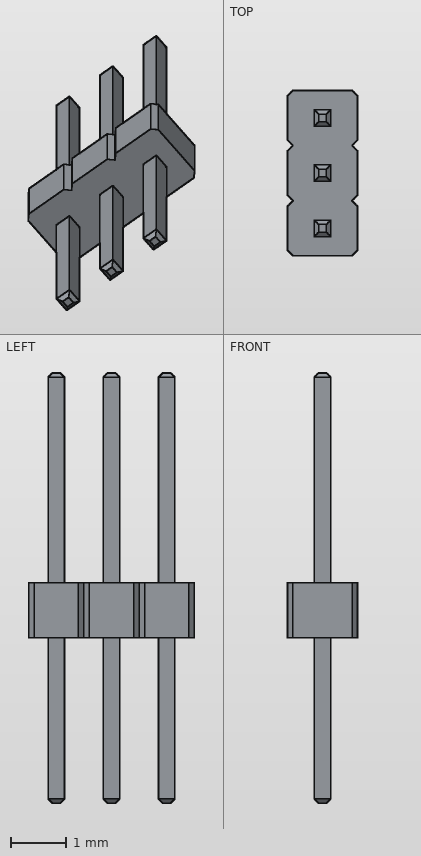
import cadquery as cq

pin_count = 3
pitch = 1.0

body_width = 1.27
body_height = 1.0
body_chamfer = 0.1

pin_size = 0.3
pin_above_body = 3.8
pin_below_body = 3.0
tip_chamfer = 0.08

pin_length = pin_below_body + body_height + pin_above_body
pin_positions = [(index - (pin_count - 1) / 2) * pitch for index in range(pin_count)]


def body_segment(y_center):
    """One pitch of the body: a block whose chamfered corners form the side notches."""
    return (
        cq.Workplane("XY")
        .center(0, y_center)
        .rect(body_width, pitch)
        .extrude(body_height)
        .edges("|Z")
        .chamfer(body_chamfer)
    )


def pin(y_center):
    """A square pin with both ends tapered."""
    return (
        cq.Workplane("XY", origin=(0, y_center, -pin_below_body))
        .rect(pin_size, pin_size)
        .extrude(pin_length)
        .faces("<Z or >Z")
        .chamfer(tip_chamfer)
    )


header = body_segment(pin_positions[0]).union(pin(pin_positions[0]))
for y_center in pin_positions[1:]:
    header = header.union(body_segment(y_center)).union(pin(y_center))

result = header.clean()